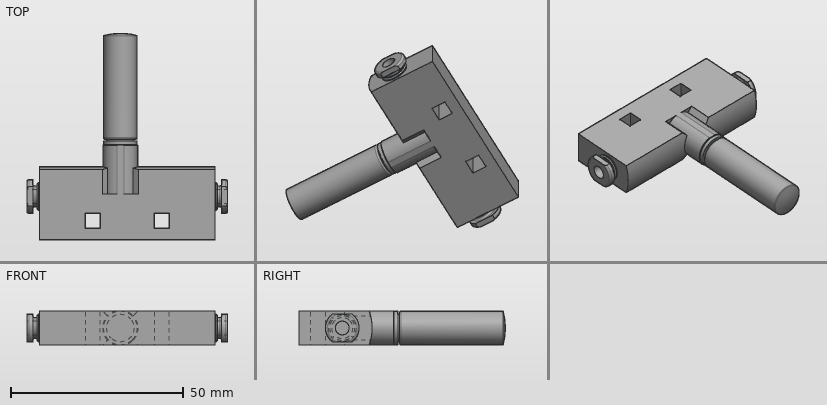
import cadquery as cq
import math

body_length = 51.0
body_depth = 21.2
thickness = 10.0
back_radius = 15.0

square_size = 4.3
square_offset = 10.0
square_y = 5.5

handle_x = -2.0
boss_diameter = 10.2
boss_start = 13.25
boss_end = 27.6
boss_chamfer = 0.2
grip_diameter = 9.8
groove_diameter = 8.0
groove_start = 28.7
grip_start = 29.1
grip_fillet = 0.5
handle_end = 59.9
dome_radius = 18.0
dome_edge_fillet = 0.2

relief_width = 10.4

fitting_y = 12.55
fitting_length = 3.6
flange_diameter = 9.8
flange_thickness = 1.7
flange_fillet = 0.6
flange_flats = 8.0
neck_diameter = 6.1
neck_fillet = 0.6
collar_diameter = 8.0
collar_length = 0.7
collar_chamfer = 0.4
bore_diameter = 4.0

DIAGONAL = math.sqrt(0.5)


def make_body():
    """Bar with a convex back face."""
    half = thickness / 2
    sagitta = back_radius - math.sqrt(back_radius**2 - half**2)
    shoulder = body_depth - sagitta
    return (
        cq.Workplane("YZ", origin=(-body_length / 2, 0, 0))
        .moveTo(0, -half)
        .lineTo(shoulder, -half)
        .threePointArc((body_depth, 0), (shoulder, half))
        .lineTo(0, half)
        .close()
        .extrude(body_length)
    )


def make_square_holes():
    return (
        cq.Workplane("XY")
        .pushPoints([(-square_offset, square_y), (square_offset, square_y)])
        .rect(square_size, square_size)
        .extrude(thickness, both=True)
    )


def make_relief():
    """V-shaped wedges that open the body around the boss at the top and bottom faces."""
    half_top = relief_width / 2
    half = thickness / 2
    wedge = (
        cq.Workplane("XZ", origin=(handle_x, boss_start, 0))
        .moveTo(-half_top, half)
        .lineTo(half_top, half)
        .lineTo(0, half - half_top)
        .close()
        .extrude(boss_start - body_depth)
    )
    return wedge.union(wedge.mirror("XY"))


def make_boss():
    """Round boss, cut flat level with the top and bottom of the body."""
    length = boss_end - boss_start
    boss = (
        cq.Workplane("XZ", origin=(handle_x, boss_start, 0))
        .circle(boss_diameter / 2)
        .extrude(-length)
        .faces(">Y")
        .chamfer(boss_chamfer)
    )
    slab = cq.Workplane("XY").box(body_length, 2 * handle_end, thickness)
    return boss.intersect(slab)


def make_grip():
    """Turned grip with a narrow groove above the boss and a domed end."""
    radius = grip_diameter / 2
    groove_radius = groove_diameter / 2
    grip_arc_mid = (
        radius - grip_fillet + grip_fillet * DIAGONAL,
        grip_start + grip_fillet - grip_fillet * DIAGONAL,
    )
    dome_centre = handle_end - dome_radius
    dome_edge = dome_centre + math.sqrt(dome_radius**2 - radius**2)
    mid_angle = math.asin(radius / dome_radius) / 2
    dome_mid = (dome_radius * math.sin(mid_angle), dome_centre + dome_radius * math.cos(mid_angle))
    return (
        cq.Workplane("XY", origin=(handle_x, 0, 0))
        .moveTo(0, boss_start)
        .lineTo(radius, boss_start)
        .lineTo(radius, groove_start)
        .lineTo(groove_radius, groove_start)
        .lineTo(groove_radius, grip_start)
        .lineTo(radius - grip_fillet, grip_start)
        .threePointArc(grip_arc_mid, (radius, grip_start + grip_fillet))
        .lineTo(radius, dome_edge)
        .threePointArc(dome_mid, (0, handle_end))
        .close()
        .revolve(360, (0, 0, 0), (0, 1, 0))
        .faces(">Y")
        .edges("%CIRCLE")
        .fillet(dome_edge_fillet)
    )


def make_fitting():
    """Turned fitting for the +X end: collar, neck and flange with two flats, bored from outside."""
    face = body_length / 2
    flange_inner = fitting_length - flange_thickness
    neck_radius = neck_diameter / 2
    collar_radius = collar_diameter / 2
    flange_radius = flange_diameter / 2
    bore_radius = bore_diameter / 2
    neck_arc_mid = (
        flange_inner - neck_fillet + neck_fillet * DIAGONAL,
        neck_radius + neck_fillet - neck_fillet * DIAGONAL,
    )
    rim_arc_mid = (
        fitting_length - flange_fillet + flange_fillet * DIAGONAL,
        flange_radius - flange_fillet + flange_fillet * DIAGONAL,
    )
    turned = (
        cq.Workplane("XY", origin=(face, fitting_y, 0))
        .moveTo(0, bore_radius)
        .lineTo(0, collar_radius)
        .lineTo(collar_length - collar_chamfer, collar_radius)
        .lineTo(collar_length, collar_radius - collar_chamfer)
        .lineTo(collar_length, neck_radius)
        .lineTo(flange_inner - neck_fillet, neck_radius)
        .threePointArc(neck_arc_mid, (flange_inner, neck_radius + neck_fillet))
        .lineTo(flange_inner, flange_radius)
        .lineTo(fitting_length - flange_fillet, flange_radius)
        .threePointArc(rim_arc_mid, (fitting_length, flange_radius - flange_fillet))
        .lineTo(fitting_length, bore_radius)
        .close()
        .revolve(360, (0, 0, 0), (1, 0, 0))
    )
    flats = cq.Workplane("XY", origin=(face, fitting_y, 0)).box(
        2 * fitting_length, 2 * flange_diameter, flange_flats
    )
    return turned.intersect(flats)


fitting = make_fitting()
result = (
    make_body()
    .cut(make_relief())
    .cut(make_square_holes())
    .union(make_boss())
    .union(make_grip())
    .union(fitting)
    .union(fitting.mirror("YZ"))
)